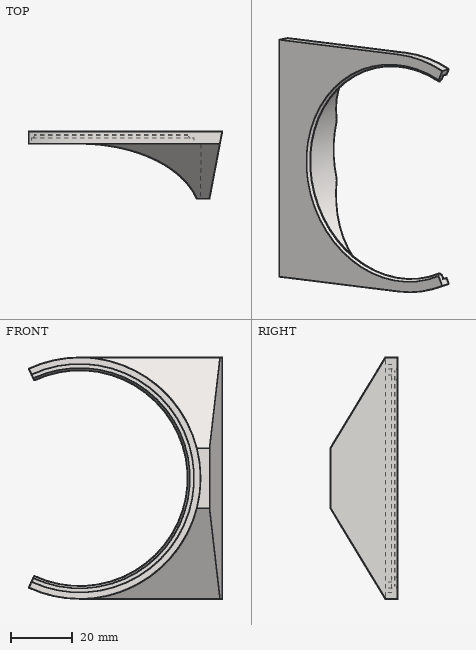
import cadquery as cq

outer_radius = 39.1
ring_depth = 4.0
seat_radius = 37.0
lip_base_radius = 35.7
lip_tip_radius = 34.9
lip_depth = 2.1
lip_tip_width = 0.2
end_angle = 25.0

bracket_depth = 21.8
back_edge_x = 46.15
front_edge_x = 42.0
nose_half_height = 9.7


def make_ring():
    """Open ring with a seat step and a tapered inner lip that ends in a narrow flat."""
    section = [
        (outer_radius, 0),
        (outer_radius, -ring_depth),
        (seat_radius, -ring_depth),
        (seat_radius, -lip_depth),
        (lip_base_radius, -lip_depth),
        (lip_tip_radius, -(lip_depth + lip_tip_width) / 2),
        (lip_tip_radius, -(lip_depth - lip_tip_width) / 2),
        (lip_base_radius, 0),
    ]
    sweep_angle = 180 + 2 * end_angle
    ring = cq.Workplane("XY").polyline(section).close().revolve(sweep_angle, (0, 0, 0), (0, 1, 0))
    return ring.rotate((0, 0, 0), (0, 1, 0), sweep_angle / -2)


def make_bracket():
    """Trapezoidal block with a slanted mounting face, cut away inside the ring."""
    block = (
        cq.Workplane("YZ")
        .polyline([
            (0, -outer_radius),
            (-ring_depth, -outer_radius),
            (-bracket_depth, -nose_half_height),
            (-bracket_depth, nose_half_height),
            (-ring_depth, outer_radius),
            (0, outer_radius),
        ])
        .close()
        .extrude(back_edge_x)
    )
    side_outline = (
        cq.Workplane("XY")
        .polyline([(0, 0), (back_edge_x, 0), (front_edge_x, -bracket_depth), (0, -bracket_depth)])
        .close()
        .extrude(outer_radius, both=True)
    )
    bore = cq.Workplane("XZ").circle(outer_radius).extrude(bracket_depth)
    return block.intersect(side_outline).cut(bore)


result = make_ring().union(make_bracket())